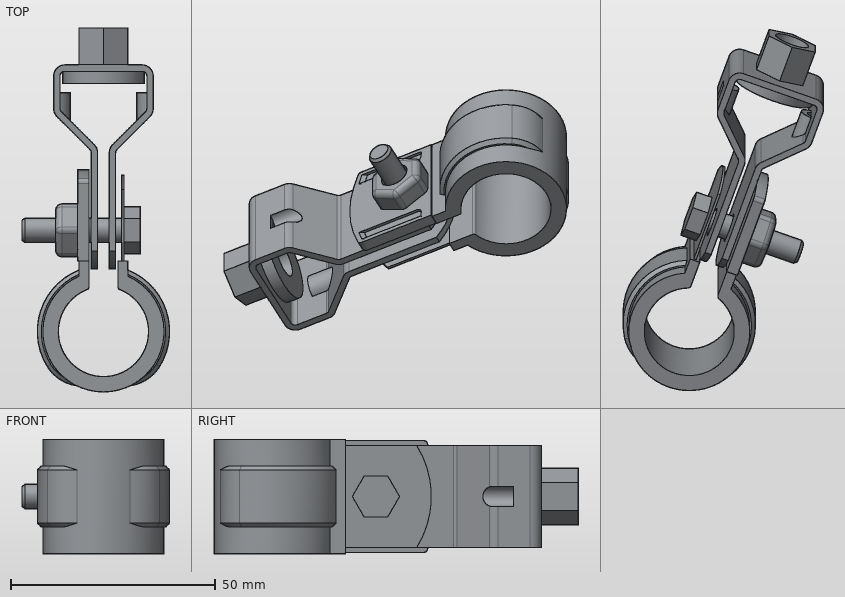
import cadquery as cq
import math


BORE_RADIUS = 11.0
RING_RADIUS = 14.8
RING_HEIGHT = 28.0
EAR_INNER_X = 3.5
EAR_OUTER_X = 6.0
EAR_END_Y = 17.3
BORE_LIP_RADIUS = 0.8

BAND_RADIUS = 16.2
BAND_HALF_HEIGHT = 7.5
BAND_CHAMFER = 1.0
BAND_TAIL_ANGLE = -32.0
BAND_TAIL_END_X = 5.9
BAND_TAIL_SINK = 0.2
BAND_ROOT_RADIUS = 12.5
BAND_EAR_OVERLAP = 1.3

BOLT_Y = 24.75
BOLT_DIAMETER = 6.0
BOLT_TIP_DIAMETER = 4.92
BOLT_TIP_LENGTH = 0.75
BOLT_TIP_X = -19.94
BOLT_HEAD_FLATS = 10.0
BOLT_HEAD_HEIGHT = 4.0
BOLT_CLEARANCE_DIAMETER = 7.0
NUT_FLATS = 13.0
NUT_HEIGHT = 5.4
NUT_ROUNDING = 1.6
NUT_HOLE_DIAMETER = 7.0

PLATE_OUTER_X = 6.3
PLATE_HALF_HEIGHT = 13.75
PLATE_END_Y = 39.6
PLATE_CORNER_Y = 37.1
PLATE_CORNER_RADIUS = 1.2

RECESS_DEPTH = 0.65
RECESS_INNER_Z = 9.5
RECESS_OUTER_Z = 12.5
RECESS_NEAR_Y = 20.1
RECESS_FAR_INNER_Y = 37.1
RECESS_FAR_OUTER_Y = 36.3
RECESS_RAMP_LENGTH = 1.2
RECESS_CORNER_RADIUS = 1.2

THIN_PLATE_INNER_X = 4.45
THIN_PLATE_THICKNESS = 0.6
THIN_PLATE_HALF_HEIGHT = 12.5
THIN_PLATE_END_Y = 38.3
THIN_PLATE_CORNER_Y = 34.7

STRAP_THICKNESS = 1.6
STRAP_HEIGHT = 25.0
STRAP_HALF_WIDTH = 12.2
STRAP_TOP_Y = 65.24
LEG_OUTER_X = 3.0
LEG_BEND_Y = 44.2
SHOULDER_ANGLE = 45.0
SHOULDER_Y = LEG_BEND_Y + (STRAP_HALF_WIDTH - LEG_OUTER_X) / math.tan(math.radians(SHOULDER_ANGLE))
LEG_CORNER_Y = 19.75
LEG_END_Y = 15.3
BEND_INNER_RADIUS = 1.2
BEND_OUTER_RADIUS = BEND_INNER_RADIUS + STRAP_THICKNESS

GROOVE_RADIUS = 2.5
GROOVE_TOP_Y = 58.4

STUD_FLATS = 12.0
STUD_HEX_LENGTH = 9.0
STUD_SHANK_DIAMETER = 10.5
STUD_DISC_DIAMETER = 20.0
STUD_DISC_THICKNESS = 3.0
STUD_HOLE_DIAMETER = 8.5
DISC_TOP_Y = STRAP_TOP_Y - STRAP_THICKNESS
DISC_BOTTOM_Y = DISC_TOP_Y - STUD_DISC_THICKNESS

CORNER_RATIO = 1 / math.cos(math.radians(30))


def polar(radius, degrees):
    angle = math.radians(degrees)
    return (radius * math.cos(angle), radius * math.sin(angle))


def rod_x(diameter, x_start, x_end):
    """Round rod along the clamp bolt axis."""
    plane = cq.Workplane("YZ", origin=(x_start, BOLT_Y, 0))
    return plane.circle(diameter / 2).extrude(x_end - x_start)


def rod_y(diameter, y_start, y_end):
    """Round rod along the hanger stud axis."""
    plane = cq.Workplane("ZX", origin=(0, y_start, 0))
    return plane.circle(diameter / 2).extrude(y_end - y_start)


def rounded_outline(corners):
    """Closed XY outline through (x, y, radius) corners, each rounded by its radius (0 is sharp)."""
    arcs = []
    for index, (x, y, radius) in enumerate(corners):
        corner = cq.Vector(x, y)
        before = (cq.Vector(*corners[index - 1][:2]) - corner).normalized()
        after = (cq.Vector(*corners[(index + 1) % len(corners)][:2]) - corner).normalized()
        half_angle = before.getAngle(after) / 2
        setback = radius / math.tan(half_angle)
        middle_offset = radius / math.sin(half_angle) - radius
        middle = corner + (before + after).normalized() * middle_offset
        arcs.append((radius, corner + before * setback, middle, corner + after * setback))

    first_end = arcs[0][3]
    outline = cq.Workplane("XY").moveTo(first_end.x, first_end.y)
    for radius, start, middle, end in arcs[1:] + arcs[:1]:
        outline = outline.lineTo(start.x, start.y)
        if radius > 0:
            outline = outline.threePointArc(middle.toTuple()[:2], end.toTuple()[:2])
    return outline.close()



def flank_band():
    """Raised band on the +X flank; its tail curves down just below the ring surface."""
    start_x = EAR_OUTER_X - BAND_EAR_OVERLAP
    start_angle = math.degrees(math.acos(start_x / BAND_RADIUS))
    tail_end_radius = RING_RADIUS - BAND_TAIL_SINK
    tail_end_angle = -math.degrees(math.acos(BAND_TAIL_END_X / tail_end_radius))
    profile = (
        cq.Workplane("XY", origin=(0, 0, -BAND_HALF_HEIGHT))
        .moveTo(*polar(BAND_RADIUS, start_angle))
        .threePointArc(polar(BAND_RADIUS, 0), polar(BAND_RADIUS, BAND_TAIL_ANGLE))
        .tangentArcPoint(polar(tail_end_radius, tail_end_angle), relative=False)
        .lineTo(*polar(BAND_ROOT_RADIUS, tail_end_angle))
        .threePointArc(polar(BAND_ROOT_RADIUS, 0), polar(BAND_ROOT_RADIUS, start_angle))
        .close()
    )
    band = profile.extrude(2 * BAND_HALF_HEIGHT)
    return band.faces("|Z").edges().chamfer(BAND_CHAMFER)


def make_ring():
    ears = (
        cq.Workplane("XY")
        .center(0, EAR_END_Y / 2)
        .rect(2 * EAR_OUTER_X, EAR_END_Y)
        .extrude(RING_HEIGHT / 2, both=True)
    )
    band = flank_band()
    body = cq.Workplane("XY").circle(RING_RADIUS).extrude(RING_HEIGHT / 2, both=True)
    body = body.union(ears)
    bore = cq.Workplane("XY").circle(BORE_RADIUS).extrude(RING_HEIGHT, both=True)
    gap = (
        cq.Workplane("XY")
        .center(0, EAR_END_Y)
        .rect(2 * EAR_INNER_X, 2 * EAR_END_Y)
        .extrude(RING_HEIGHT, both=True)
    )
    body = body.cut(bore).cut(gap)
    lip_y = math.sqrt(BORE_RADIUS**2 - EAR_INNER_X**2)
    for x in (-EAR_INNER_X, EAR_INNER_X):
        body = body.edges(cq.NearestToPointSelector((x, lip_y, 0))).fillet(BORE_LIP_RADIUS)
    return body.union(band).union(band.mirror("YZ"))



def side_plate(x_start, thickness, half_height, corner_y, end_y):
    """Flat plate standing on an ear end, with a bowed far end and a bolt hole."""
    plate = (
        cq.Workplane("YZ", origin=(x_start, 0, 0))
        .moveTo(EAR_END_Y, -half_height)
        .lineTo(corner_y, -half_height)
        .threePointArc((end_y, 0), (corner_y, half_height))
        .lineTo(EAR_END_Y, half_height)
        .close()
        .extrude(thickness)
    )
    return plate.cut(rod_x(BOLT_CLEARANCE_DIAMETER, x_start, x_start + thickness))


def plate_recess():
    """Recess at +Z: slanted ramp at its far end, one rounded corner at its near end."""
    outer_x = -PLATE_OUTER_X
    rounding = RECESS_CORNER_RADIUS
    middle_offset = rounding * (1 - math.sqrt(0.5))

    def outline(x, ramp):
        wire = (
            cq.Workplane("YZ", origin=(x, 0, 0))
            .moveTo(RECESS_NEAR_Y, RECESS_OUTER_Z)
            .lineTo(RECESS_FAR_OUTER_Y - ramp, RECESS_OUTER_Z)
            .lineTo(RECESS_FAR_INNER_Y - ramp, RECESS_INNER_Z)
            .lineTo(RECESS_NEAR_Y + rounding, RECESS_INNER_Z)
            .threePointArc(
                (RECESS_NEAR_Y + middle_offset, RECESS_INNER_Z + middle_offset),
                (RECESS_NEAR_Y, RECESS_INNER_Z + rounding),
            )
            .close()
        )
        return wire.val()

    mouth = outline(outer_x, 0)
    floor = outline(outer_x + RECESS_DEPTH, RECESS_RAMP_LENGTH)
    return cq.Workplane(cq.Solid.makeLoft([mouth, floor], True))


def make_thick_plate():
    plate = side_plate(
        -PLATE_OUTER_X, PLATE_OUTER_X - EAR_INNER_X, PLATE_HALF_HEIGHT, PLATE_CORNER_Y, PLATE_END_Y
    )
    for z in (-PLATE_HALF_HEIGHT, PLATE_HALF_HEIGHT):
        corner = cq.NearestToPointSelector((-(PLATE_OUTER_X + EAR_INNER_X) / 2, PLATE_CORNER_Y, z))
        plate = plate.edges(corner).fillet(PLATE_CORNER_RADIUS)
    recess = plate_recess()
    return plate.cut(recess).cut(recess.mirror("XY"))


def make_thin_plate():
    return side_plate(
        THIN_PLATE_INNER_X,
        THIN_PLATE_THICKNESS,
        THIN_PLATE_HALF_HEIGHT,
        THIN_PLATE_CORNER_Y,
        THIN_PLATE_END_Y,
    )



def mirrored(corners):
    return [(-x, y, radius) for x, y, radius in reversed(corners)]


def outer_half_corners():
    """Corners of the outer face on the +X half, from leg end to top."""
    return [
        (LEG_OUTER_X, LEG_END_Y, 0),
        (LEG_OUTER_X, LEG_BEND_Y, BEND_INNER_RADIUS),
        (STRAP_HALF_WIDTH, SHOULDER_Y, BEND_OUTER_RADIUS),
        (STRAP_HALF_WIDTH, STRAP_TOP_Y, BEND_OUTER_RADIUS),
    ]


def inner_half_corners():
    """Corners of the inner face on the +X half, from top to leg end."""
    side_x = STRAP_HALF_WIDTH - STRAP_THICKNESS
    leg_x = LEG_OUTER_X - STRAP_THICKNESS
    bend_shift = STRAP_THICKNESS * math.tan(math.radians(SHOULDER_ANGLE / 2))
    return [
        (side_x, STRAP_TOP_Y - STRAP_THICKNESS, BEND_INNER_RADIUS),
        (side_x, SHOULDER_Y + bend_shift, BEND_INNER_RADIUS),
        (leg_x, LEG_BEND_Y + bend_shift, BEND_OUTER_RADIUS),
        (leg_x, LEG_END_Y, 0),
    ]


def strap_sheet():
    """Bent sheet: wide top, slanted shoulders, two parallel legs."""
    outer = outer_half_corners()
    inner = inner_half_corners()
    outline = outer + mirrored(outer) + mirrored(inner) + inner
    return rounded_outline(outline).extrude(STRAP_HEIGHT / 2, both=True)


def strap_side_shape():
    """Side outline of the strap with bowed leg ends."""
    half_height = STRAP_HEIGHT / 2
    return (
        cq.Workplane("YZ")
        .moveTo(STRAP_TOP_Y, -half_height)
        .lineTo(LEG_CORNER_Y, -half_height)
        .threePointArc((LEG_END_Y, 0), (LEG_CORNER_Y, half_height))
        .lineTo(STRAP_TOP_Y, half_height)
        .close()
        .extrude(STRAP_HALF_WIDTH, both=True)
    )


def side_rods(radius):
    """Rods along Y on both outer faces of the strap, from the groove top down to the legs."""
    centres = [(-STRAP_HALF_WIDTH, 0), (STRAP_HALF_WIDTH, 0)]
    plane = cq.Workplane("XZ", origin=(0, GROOVE_TOP_Y, 0))
    return plane.pushPoints(centres).circle(radius).extrude(GROOVE_TOP_Y - LEG_BEND_Y)


def strap_envelope():
    """Solid space enclosed by the outer faces of the strap."""
    half = outer_half_corners()
    return rounded_outline(half + mirrored(half)).extrude(STRAP_HEIGHT / 2, both=True)


def make_strap():
    sheet = strap_sheet()
    bulges = side_rods(GROOVE_RADIUS + STRAP_THICKNESS).intersect(strap_envelope()).cut(sheet)
    strap = sheet.intersect(strap_side_shape())
    strap = strap.union(bulges)
    strap = strap.cut(side_rods(GROOVE_RADIUS))
    strap = strap.cut(rod_x(BOLT_CLEARANCE_DIAMETER, -LEG_OUTER_X, LEG_OUTER_X))
    strap = strap.cut(rod_y(STUD_SHANK_DIAMETER, DISC_TOP_Y, STRAP_TOP_Y))
    return strap.cut(rod_y(STUD_DISC_DIAMETER, DISC_BOTTOM_Y, DISC_TOP_Y))



def make_stud():
    hex_top_y = STRAP_TOP_Y + STUD_HEX_LENGTH
    hexagon = (
        cq.Workplane("ZX", origin=(0, STRAP_TOP_Y, 0))
        .polygon(6, STUD_FLATS * CORNER_RATIO)
        .extrude(STUD_HEX_LENGTH)
    )
    stud = rod_y(STUD_DISC_DIAMETER, DISC_BOTTOM_Y, DISC_TOP_Y)
    stud = stud.union(rod_y(STUD_SHANK_DIAMETER, DISC_TOP_Y, STRAP_TOP_Y)).union(hexagon)
    return stud.cut(rod_y(STUD_HOLE_DIAMETER, DISC_BOTTOM_Y, hex_top_y))



def make_bolt():
    head_x = THIN_PLATE_INNER_X + THIN_PLATE_THICKNESS
    tip_chamfer = (BOLT_DIAMETER - BOLT_TIP_DIAMETER) / 2
    shank = rod_x(BOLT_DIAMETER, BOLT_TIP_X, head_x)
    shank = shank.faces("<X").chamfer(BOLT_TIP_LENGTH, tip_chamfer)
    head = (
        cq.Workplane("YZ", origin=(head_x, BOLT_Y, 0))
        .polygon(6, BOLT_HEAD_FLATS * CORNER_RATIO)
        .extrude(BOLT_HEAD_HEIGHT)
    )
    return shank.union(head)


def make_nut():
    outer_x = -PLATE_OUTER_X - NUT_HEIGHT
    nut = (
        cq.Workplane("YZ", origin=(outer_x, BOLT_Y, 0))
        .transformed(rotate=(0, 0, 90))
        .polygon(6, NUT_FLATS * CORNER_RATIO)
        .extrude(NUT_HEIGHT)
    )
    nut = nut.edges("|X").fillet(NUT_ROUNDING)
    nut = nut.faces("<X").edges().fillet(NUT_ROUNDING)
    return nut.cut(rod_x(NUT_HOLE_DIAMETER, outer_x, -PLATE_OUTER_X))


ring = make_ring()
thick_plate = make_thick_plate()
thin_plate = make_thin_plate()
strap = make_strap()
stud = make_stud()
bolt = make_bolt()
nut = make_nut()

result = cq.Compound.makeCompound(
    [
        ring.val(),
        thick_plate.val(),
        thin_plate.val(),
        strap.val(),
        stud.val(),
        bolt.val(),
        nut.val(),
    ]
)